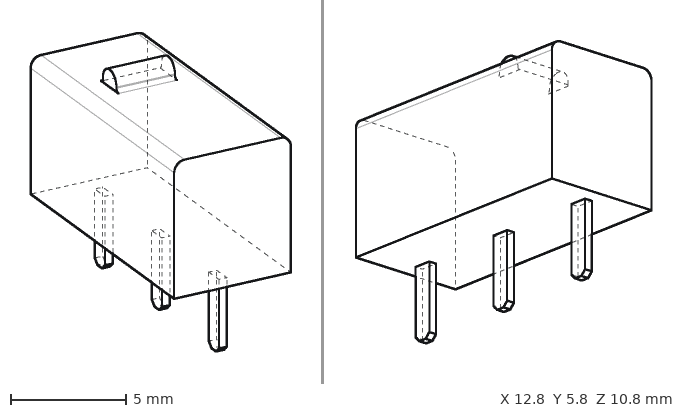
import cadquery as cq

body_length = 12.8
body_width = 5.8
body_height = 6.5
edge_radius = 0.51

button_x = -1.95
button_width = 2.9
button_height = 0.83
button_radius = 0.6
foot_radius = 0.18

pin_count = 3
pin_pitch = 5.08
pin_width = 0.9
pin_thickness = 0.4
pin_length = 3.52
tip_chamfer = 0.24


def make_body():
    box = cq.Workplane("XY").box(body_length, body_width, body_height, centered=(True, True, False))
    return box.edges("|X and >Z").fillet(edge_radius)


def make_button():
    """Half-round crown on short walls, with concave feet tangent to the housing top."""
    crown_z = button_height - button_radius
    foot_reach = button_radius + foot_radius
    foot_drop = foot_radius * (1 - 0.5 ** 0.5)
    foot_mid_x = button_radius + foot_drop
    profile = (
        cq.Workplane("XZ", origin=(button_x, 0, body_height))
        .moveTo(-foot_reach, 0)
        .threePointArc((-foot_mid_x, foot_drop), (-button_radius, foot_radius))
        .lineTo(-button_radius, crown_z)
        .threePointArc((0, button_height), (button_radius, crown_z))
        .lineTo(button_radius, foot_radius)
        .threePointArc((foot_mid_x, foot_drop), (foot_reach, 0))
        .close()
    )
    return profile.extrude(button_width / 2, both=True)


def make_pin(x):
    blade = cq.Workplane("XY").box(pin_width, pin_thickness, pin_length, centered=(True, True, False))
    blade = blade.faces("<Z").edges("|Y").chamfer(tip_chamfer)
    return blade.translate((x, 0, -pin_length))


result = make_body().union(make_button())
for index in range(pin_count):
    pin_x = (index - (pin_count - 1) / 2) * pin_pitch
    result = result.union(make_pin(pin_x))